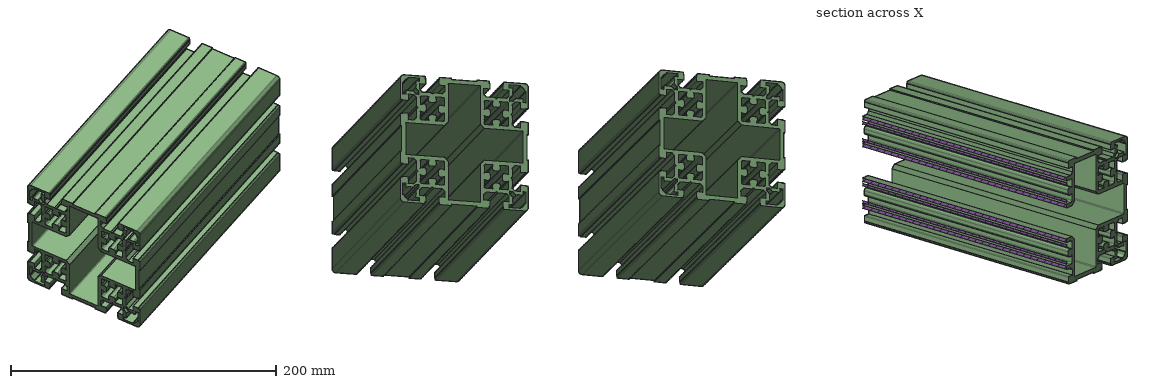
import cadquery as cq
import math

LENGTH = 200.0
SIDE = 100.0
HALF = SIDE / 2
CORNER_RADIUS = 3.0
SLOT_OFFSET = SIDE / 4

LEDGE_HALF = 5.5
ENTRY_RADIUS = 0.8
LEDGE_DEPTH = 1.8
MOUTH_HALF = 5.0
LIP_DEPTH = 6.2
LIP_RADIUS = 0.5
SLOT_HALF = 10.0
SLOT_DEPTH = 12.5
SLOT_CHAMFER = 2.2
NOTCH_HALF = 1.0
NOTCH_DEPTH = 1.0

RELIEF_WIDTH = 20.0
RELIEF_DEPTH = 1.0

CROSS_WIDTH = 25.0
CROSS_WALL = 4.2
CROSS_CHAMFER = 3.0
CROSS_RADIUS = 0.5

CELL_SIDE = 18.8
CELL_RADIUS = 1.2
RIB_NECK_HALF = 2.5
RIB_HEAD_HALF = 3.2
RIB_SHOULDER = 1.8
RIB_TIP_RADIUS = 1.8
RIB_HEIGHT = 4.5

BORE_OFFSET = 7.5
BORE_RADIUS = 5.0
POCKET_START = 6.2
POCKET_END = 15.0
POCKET_OUTER = 1.8
POCKET_INNER = 4.2
POCKET_LIP_RADIUS = 0.8
SLIT_SPREAD = 2.2
SLIT_END = 14.5


def section():
    """Start a cross-section on the XZ plane."""
    return cq.Workplane("XZ")


def run(outline):
    """Extrude a cross-section over the full length."""
    return outline.extrude(LENGTH / 2, both=True)


def turned(body, quarter):
    """Turn a body by quarter turns about the long axis."""
    return body.rotate((0, 0, 0), (0, 1, 0), 90 * quarter)


def mirrored_outline(right_half):
    """Complete a half outline by mirroring it about its vertical axis."""
    return right_half + [(-x, z) for x, z in reversed(right_half) if x > 0]


def slot_flare():
    """Widening that rounds over both outer edges of a slot."""
    half = LEDGE_HALF + ENTRY_RADIUS
    flare = run(section().center(0, -ENTRY_RADIUS / 2).rect(2 * half, ENTRY_RADIUS))
    round_edges = section().pushPoints([(-half, -ENTRY_RADIUS), (half, -ENTRY_RADIUS)])
    return flare.cut(run(round_edges.circle(ENTRY_RADIUS)))


def slot():
    """T-slot of the +Z side with a small notch along the middle of its floor."""
    right_half = [
        (LEDGE_HALF, 0),
        (LEDGE_HALF, -LEDGE_DEPTH),
        (MOUTH_HALF, -LEDGE_DEPTH),
        (MOUTH_HALF, -LIP_DEPTH),
        (SLOT_HALF, -LIP_DEPTH),
        (SLOT_HALF, -SLOT_DEPTH + SLOT_CHAMFER),
        (SLOT_HALF - SLOT_CHAMFER, -SLOT_DEPTH),
        (NOTCH_HALF, -SLOT_DEPTH),
        (0, -SLOT_DEPTH - NOTCH_DEPTH),
    ]
    body = run(section().polyline(mirrored_outline(right_half)).close())
    lip_edges = cq.selectors.BoxSelector(
        (-MOUTH_HALF - LIP_RADIUS, -LENGTH, -LIP_DEPTH - LIP_RADIUS),
        (MOUTH_HALF + LIP_RADIUS, LENGTH, -LIP_DEPTH + LIP_RADIUS),
    )
    body = body.edges("|Y").edges(lip_edges).fillet(LIP_RADIUS)
    return body.union(slot_flare()).translate((0, 0, HALF))


def relief():
    """Shallow relief of the +Z side."""
    return run(section().rect(RELIEF_WIDTH, 2 * RELIEF_DEPTH)).translate((0, 0, HALF))


def cross_cavity():
    """Cross-shaped through cavity with bevelled inner corners."""
    span = SIDE - 2 * CROSS_WALL
    arm = run(section().rect(span, CROSS_WIDTH)).edges("|Y").fillet(CROSS_RADIUS)
    cavity = arm.union(turned(arm, 1))
    bevel_side = math.sqrt(2) * (CROSS_WIDTH + CROSS_CHAMFER)
    bevel = run(section().rect(bevel_side, bevel_side)).rotate((0, 0, 0), (0, 1, 0), 45)
    return cavity.union(bevel)


def cell():
    """Square cell of the +X +Z quarter, less the four ribs that stay solid."""
    body = run(section().rect(CELL_SIDE, CELL_SIDE)).edges("|Y").fillet(CELL_RADIUS)
    wall = CELL_SIDE / 2
    rib = run(section().polyline(mirrored_outline([
        (RIB_NECK_HALF, wall),
        (RIB_HEAD_HALF, wall - RIB_SHOULDER),
        (RIB_HEAD_HALF, wall - RIB_HEIGHT),
    ])).close())
    rib = rib.faces("<Z").edges("|Y").fillet(RIB_TIP_RADIUS)
    for quarter in range(4):
        body = body.cut(turned(rib, quarter))
    return body.translate((SLOT_OFFSET, 0, SLOT_OFFSET))


def corner_hollow():
    """Hollow of the +X +Z corner, drawn by distance inward from both outer sides."""
    bore = run(section().center(BORE_OFFSET, BORE_OFFSET).circle(BORE_RADIUS))
    length = POCKET_END - POCKET_START
    depth = POCKET_INNER - POCKET_OUTER
    middle = ((POCKET_START + POCKET_END) / 2, (POCKET_OUTER + POCKET_INNER) / 2)
    pockets = run(section().center(*middle).rect(length, depth))
    pockets = pockets.union(run(section().center(*reversed(middle)).rect(depth, length)))
    hollow = bore.union(pockets)
    across = math.sqrt(BORE_RADIUS**2 - (BORE_OFFSET - POCKET_INNER)**2)
    lips = [(BORE_OFFSET + across, POCKET_INNER), (POCKET_INNER, BORE_OFFSET + across)]
    for x, z in lips:
        lip = cq.selectors.NearestToPointSelector((x, 0, z))
        hollow = hollow.edges("|Y").edges(lip).fillet(POCKET_LIP_RADIUS)
    slit = run(section().polyline([
        (BORE_OFFSET + SLIT_SPREAD, BORE_OFFSET),
        (SLIT_END, SLIT_END - SLIT_SPREAD),
        (SLIT_END, SLIT_END),
        (SLIT_END - SLIT_SPREAD, SLIT_END),
        (BORE_OFFSET, BORE_OFFSET + SLIT_SPREAD),
    ]).close())
    return turned(hollow.union(slit), 2).translate((HALF, 0, HALF))


profile = run(section().rect(SIDE, SIDE)).edges("|Y").fillet(CORNER_RADIUS)
profile = profile.cut(cross_cavity())

side_slot = slot()
quarter_cuts = [
    side_slot.translate((-SLOT_OFFSET, 0, 0)),
    side_slot.translate((SLOT_OFFSET, 0, 0)),
    relief(),
    cell(),
    corner_hollow(),
]
for quarter in range(4):
    for cut in quarter_cuts:
        profile = profile.cut(turned(cut, quarter))

result = profile